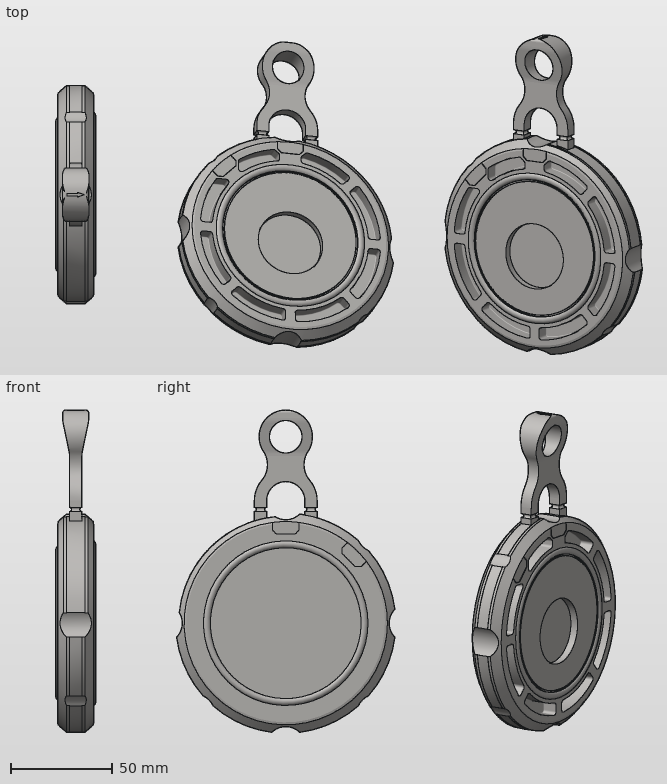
import cadquery as cq
import math


face_x = 9.0
rim_radius = 54.5
cone_edge_radius = 50.0
face_edge_radius = 49.2
face_edge_drop = 0.3
rim_half_width = face_x - (rim_radius - cone_edge_radius)
band_half_width = 3.1
shoulder_drop = 0.1

low_radius = 53.0
low_band_half_width = 4.6

scallop_radius = 10.0
main_scallop_floor = 51.25
small_scallop_floor = 53.75
main_scallop_angles = (0, 90, 180, 270)
small_scallop_angles = (45, 225, 315)

bead_width = 3.4
left_bead_outer_radius = 38.0
left_bead_height = 0.9
right_bead_outer_radius = 40.7
right_bead_height = 0.95
disc_radius = 67.5 / 2
groove_depth = 0.8
bore_radius = 33.0 / 2
bore_offset_z = -4.0
bore_depth = 4.0

pocket_inner_radius = 40.0
pocket_outer_radius = 46.2
pocket_depth = 7.2
pocket_corner_radius = 1.5
pocket_floor_radius = 0.4
pocket_step = 45
pocket_gap = 2.5
pocket_gap_top = 5.5
pocket_top_chamfer = 2.8
pocket_limit = 26.6

pad_half_width = 6.6
pad_inner_radius = 44.1
pad_corner = 2.0
pad_depth = 0.3
pad_angles = (45, 90)

overall_top_z = 105.5
eye_radius = 13.25
eye_hole_radius = 16.0 / 2
eye_z = overall_top_z - eye_radius
arch_z = 60.6
arch_outer_radius = 15.6
arch_inner_radius = 9.4
waist_radius = 12.0
hanger_half_width = 3.1
eye_half_width = 6.5
flare_start_z = 83.9
flare_end_z = 100.2
flare_blend_radius = 12.0
eye_corner_radius = 1.5
foot_bottom_z = 48.0
groove_z = 56.3
groove_radius = 1.0

arrow_half_length = 4.2
arrow_shaft_half_width = 0.6
arrow_head_half_width = 1.2
arrow_head_x = 0.8
arrow_depth = 0.3

far = 200.0
margin = 1.0


def disc(x_start, x_end, radius):
    return cq.Workplane("YZ").workplane(offset=x_start).circle(radius).extrude(x_end - x_start)


def revolve_about_x(profile):
    return profile.close().revolve(360, (0, 0, 0), (1, 0, 0))


def along(angle):
    """Unit vector in the YZ plane, measured from +Y towards +Z."""
    return math.cos(math.radians(angle)), math.sin(math.radians(angle))


def make_body():
    shoulder_radius = rim_radius - shoulder_drop
    shoulder_x = rim_half_width + shoulder_drop
    half = [
        (band_half_width, rim_radius),
        (band_half_width, shoulder_radius),
        (shoulder_x, shoulder_radius),
        (face_x - face_edge_drop, cone_edge_radius + face_edge_drop),
        (face_x, face_edge_radius),
        (face_x, 0),
    ]
    mirrored = [(-x, r) for x, r in reversed(half)]
    return revolve_about_x(cq.Workplane("XY").polyline(mirrored + half))


def make_low_quarter():
    """Material taken off the rim between the top and -Y scallops."""
    shoulder_radius = low_radius - shoulder_drop
    outer = rim_radius + margin
    profile = cq.Workplane("XY").polyline([
        (-face_x, outer),
        (-face_x, shoulder_radius),
        (-low_band_half_width, shoulder_radius),
        (-low_band_half_width, low_radius),
        (low_band_half_width, low_radius),
        (low_band_half_width, shoulder_radius),
        (face_x, shoulder_radius),
        (face_x, outer),
    ])
    quarter = cq.Workplane("XY").box(far, far, far).translate((0, -far / 2, far / 2))
    return revolve_about_x(profile).intersect(quarter)


def make_scallop(angle, floor_radius):
    y, z = along(angle)
    reach = floor_radius + scallop_radius
    return disc(-face_x - margin, face_x + margin, scallop_radius).translate((0, reach * y, reach * z))


def make_bead(side, outer_radius, height):
    """Rounded ring standing on the side face; side is -1 or +1."""
    inner_radius = outer_radius - bead_width
    crest_radius = outer_radius - bead_width / 2
    root_x = side * (face_x - groove_depth)
    profile = (
        cq.Workplane("XY")
        .moveTo(root_x, outer_radius)
        .lineTo(side * face_x, outer_radius)
        .threePointArc((side * (face_x + height), crest_radius), (side * face_x, inner_radius))
        .lineTo(root_x, inner_radius)
    )
    return revolve_about_x(profile)


def make_disc_groove():
    outer_radius = left_bead_outer_radius - bead_width
    floor_x = -face_x + groove_depth
    return disc(-face_x, floor_x, outer_radius).cut(disc(-face_x, floor_x, disc_radius))


def make_bore():
    return disc(-face_x, -face_x + bore_depth, bore_radius).translate((0, 0, bore_offset_z))


def make_pocket(start, start_gap, end_gap):
    """Arc pocket between two spokes, its end walls parallel to the spoke centrelines."""
    end = start + pocket_step
    start_dir = along(start)
    end_dir = along(end)
    spread = math.sin(math.radians(pocket_step))
    corner = [(start_gap * e + end_gap * s) / spread for s, e in zip(start_dir, end_dir)]
    wedge_points = [
        corner,
        [c + far * s for c, s in zip(corner, start_dir)],
        [c + far * e for c, e in zip(corner, end_dir)],
    ]
    floor_x = -face_x + pocket_depth
    ring = disc(-face_x, floor_x, pocket_outer_radius).cut(disc(-face_x, floor_x, pocket_inner_radius))
    wedge = cq.Workplane("YZ").workplane(offset=-face_x).polyline(wedge_points).close().extrude(pocket_depth)
    return ring.intersect(wedge)


def chamfer_top_corner(pocket, side):
    corner_z = math.sqrt(pocket_outer_radius**2 - pocket_gap_top**2)
    middle = (-face_x + pocket_depth / 2, side * pocket_gap_top, corner_z)
    return pocket.edges(cq.selectors.NearestToPointSelector(middle)).chamfer(pocket_top_chamfer)


def make_pockets():
    limit = 2 * pocket_limit
    beside_pad_low = make_pocket(0, pocket_gap, 0).intersect(cq.Workplane("XY").box(far, far, limit))
    beside_pad_high = make_pocket(45, 0, pocket_gap_top).intersect(cq.Workplane("XY").box(far, limit, far))
    pockets = [
        beside_pad_low,
        chamfer_top_corner(beside_pad_high, 1),
        chamfer_top_corner(make_pocket(90, pocket_gap_top, pocket_gap), -1),
    ]
    for start in range(135, 360, pocket_step):
        pockets.append(make_pocket(start, pocket_gap, pocket_gap))
    rounded = [pocket.edges("|X").fillet(pocket_corner_radius) for pocket in pockets]
    return [pocket.faces(">X").edges().fillet(pocket_floor_radius) for pocket in rounded]


def make_pad(angle, side):
    """Shallow recess running out through the rim bevel; side is -1 or +1."""
    length = rim_radius - pad_inner_radius
    middle_radius = pad_inner_radius + length / 2
    pad = (
        cq.Workplane("XY")
        .box(2 * pad_depth, length, 2 * pad_half_width)
        .edges("|X and <Y")
        .chamfer(pad_corner)
        .translate((side * face_x, middle_radius, 0))
    )
    return pad.rotate((0, 0, 0), (1, 0, 0), angle)


def make_hanger_outline():
    """Eye, waist, arch and legs; the waist arcs are tangent to the eye and the arch."""
    spacing = eye_z - arch_z
    to_arch = arch_outer_radius + waist_radius
    to_eye = eye_radius + waist_radius
    rise = (to_arch**2 - to_eye**2 + spacing**2) / (2 * spacing)
    waist_y = math.sqrt(to_arch**2 - rise**2)
    waist_z = arch_z + rise

    low_ratio = arch_outer_radius / to_arch
    low = (waist_y * low_ratio, arch_z + rise * low_ratio)
    high_ratio = eye_radius / to_eye
    high = (waist_y * high_ratio, eye_z + (waist_z - eye_z) * high_ratio)
    narrow = (waist_y - waist_radius, waist_z)
    half_angle = math.atan2(low[1] - arch_z, low[0]) / 2
    shoulder = (
        arch_outer_radius * math.cos(half_angle),
        arch_z + arch_outer_radius * math.sin(half_angle),
    )

    def left(point):
        return -point[0], point[1]

    return (
        cq.Workplane("YZ")
        .workplane(offset=-eye_half_width)
        .moveTo(arch_outer_radius, foot_bottom_z)
        .lineTo(arch_outer_radius, arch_z)
        .threePointArc(shoulder, low)
        .threePointArc(narrow, high)
        .threePointArc((0, overall_top_z), left(high))
        .threePointArc(left(narrow), left(low))
        .threePointArc(left(shoulder), (-arch_outer_radius, arch_z))
        .lineTo(-arch_outer_radius, foot_bottom_z)
        .lineTo(-arch_inner_radius, foot_bottom_z)
        .lineTo(-arch_inner_radius, arch_z)
        .threePointArc((0, arch_z + arch_inner_radius), (arch_inner_radius, arch_z))
        .lineTo(arch_inner_radius, foot_bottom_z)
        .close()
        .extrude(2 * eye_half_width)
    )


def make_hanger_thickness():
    """Flat stem flaring out into the thicker eye, as a bar along Y."""
    half = [
        (hanger_half_width, foot_bottom_z),
        (hanger_half_width, flare_start_z),
        (eye_half_width, flare_end_z),
        (eye_half_width, overall_top_z),
    ]
    mirrored = [(-x, z) for x, z in reversed(half)]
    bar = cq.Workplane("XZ").polyline(half + mirrored).close().extrude(arch_outer_radius, both=True)
    bar = bar.edges("|Y and >Z").fillet(eye_corner_radius)
    for x, z in half[1:3]:
        for side in (-1, 1):
            corner = cq.selectors.NearestToPointSelector((side * x, 0, z))
            bar = bar.edges("|Y").edges(corner).fillet(flare_blend_radius)
    return bar


def make_leg_groove(leg_y):
    """Half-round groove around all four sides of one leg."""
    half_leg = (arch_outer_radius - arch_inner_radius) / 2
    groove = None
    for side in (-1, 1):
        along_y = (
            cq.Workplane("XZ")
            .center(side * hanger_half_width, groove_z)
            .circle(groove_radius)
            .extrude(half_leg, both=True)
            .translate((0, leg_y, 0))
        )
        along_x = (
            cq.Workplane("YZ")
            .center(leg_y + side * half_leg, groove_z)
            .circle(groove_radius)
            .extrude(hanger_half_width, both=True)
        )
        pair = along_y.union(along_x)
        groove = pair if groove is None else groove.union(pair)
    return groove


def make_arrow():
    points = [
        (-arrow_half_length, arrow_shaft_half_width),
        (arrow_head_x, arrow_shaft_half_width),
        (arrow_head_x, arrow_head_half_width),
        (arrow_half_length, 0),
        (arrow_head_x, -arrow_head_half_width),
        (arrow_head_x, -arrow_shaft_half_width),
        (-arrow_half_length, -arrow_shaft_half_width),
    ]
    floor_z = overall_top_z - arrow_depth
    return cq.Workplane("XY").workplane(offset=floor_z).polyline(points).close().extrude(arrow_depth + margin)


def make_hanger():
    hanger = make_hanger_outline().intersect(make_hanger_thickness())
    hanger = hanger.cut(disc(-eye_half_width, eye_half_width, eye_hole_radius).translate((0, 0, eye_z)))
    leg_y = (arch_outer_radius + arch_inner_radius) / 2
    for side in (-1, 1):
        hanger = hanger.cut(make_leg_groove(side * leg_y))
    return hanger.cut(make_arrow())


body = make_body().cut(make_low_quarter())
for scallop_angle in main_scallop_angles:
    body = body.cut(make_scallop(scallop_angle, main_scallop_floor))
for scallop_angle in small_scallop_angles:
    body = body.cut(make_scallop(scallop_angle, small_scallop_floor))

body = body.cut(make_disc_groove()).cut(make_bore())
for pocket in make_pockets():
    body = body.cut(pocket)
for pad_angle in pad_angles:
    for pad_side in (-1, 1):
        body = body.cut(make_pad(pad_angle, pad_side))
body = body.union(make_bead(-1, left_bead_outer_radius, left_bead_height))
body = body.union(make_bead(1, right_bead_outer_radius, right_bead_height))

result = body.union(make_hanger())